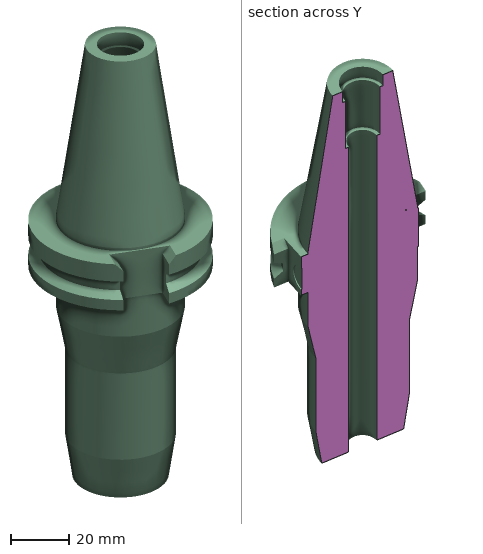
import cadquery as cq

total_height = 169.8
taper_length = 68.1
neck_length = 1.0
flange_thickness = 18.2
collar_length = 15.8
cone_length = 16.3
nose_length = 16.3

flange_top = total_height - taper_length - neck_length
flange_bottom = flange_top - flange_thickness
collar_bottom = flange_bottom - collar_length
shank_top = collar_bottom - cone_length

flange_diameter = 63.5
taper_small_diameter = 24.5
taper_large_diameter = 44.5
collar_diameter = 44.5
shank_diameter = 38.2
nose_diameter = 33.3

groove_diameter = 56.4
upper_rim = 6.8
lower_rim = 4.0
groove_slope_height = 1.9

slot_width = 16.5
left_slot_floor = 25.0
right_slot_floor = 22.8
slot_chamfer = 2.7
dimple_diameter = 10.0
dimple_drop = 10.4
dimple_depth = 0.3

bore_diameter = 11.2
thread_diameter = 14.0
mouth_diameter = 16.3
mouth_depth = 5.1
thread_depth = 27.2


def make_body():
    """Revolve the outside profile, including the flange groove."""
    groove_top = flange_top - upper_rim
    groove_bottom = flange_bottom + lower_rim
    diameters_and_heights = [
        (nose_diameter, 0),
        (shank_diameter, nose_length),
        (shank_diameter, shank_top),
        (collar_diameter, collar_bottom),
        (collar_diameter, flange_bottom),
        (flange_diameter, flange_bottom),
        (flange_diameter, groove_bottom),
        (groove_diameter, groove_bottom + groove_slope_height),
        (groove_diameter, groove_top - groove_slope_height),
        (flange_diameter, groove_top),
        (flange_diameter, flange_top),
        (taper_large_diameter, flange_top),
        (taper_large_diameter, flange_top + neck_length),
        (taper_small_diameter, total_height),
    ]
    outline = [(0, 0)]
    outline += [(diameter / 2, height) for diameter, height in diameters_and_heights]
    outline.append((0, total_height))
    return cq.Workplane("XZ").polyline(outline).close().revolve(360, (0, 0), (0, 1))


def make_drive_slot(side, floor_distance):
    """Slot with a chamfered mouth; side is +1 or -1 along X."""
    half_width = slot_width / 2
    mouth_half_width = half_width + slot_chamfer
    slot_length = side * (flange_diameter / 2 - floor_distance)
    return (
        cq.Workplane("YZ", origin=(side * floor_distance, 0, 0))
        .polyline([
            (-half_width, flange_bottom),
            (half_width, flange_bottom),
            (half_width, flange_top - slot_chamfer),
            (mouth_half_width, flange_top),
            (-mouth_half_width, flange_top),
            (-half_width, flange_top - slot_chamfer),
        ])
        .close()
        .extrude(slot_length)
    )


def make_dimple():
    """Shallow round recess in the floor of the -X slot."""
    return (
        cq.Workplane("YZ", origin=(-left_slot_floor, 0, flange_top - dimple_drop))
        .circle(dimple_diameter / 2)
        .extrude(dimple_depth)
    )


def make_bore():
    """Through bore with two wider steps at the small end of the taper."""
    top = cq.Workplane("XY", origin=(0, 0, total_height))
    bore = top.circle(bore_diameter / 2).extrude(-total_height)
    for diameter, depth in [(thread_diameter, thread_depth), (mouth_diameter, mouth_depth)]:
        bore = bore.union(top.circle(diameter / 2).extrude(-depth))
    return bore


result = (
    make_body()
    .cut(make_bore())
    .cut(make_drive_slot(-1, left_slot_floor))
    .cut(make_drive_slot(1, right_slot_floor))
    .cut(make_dimple())
)